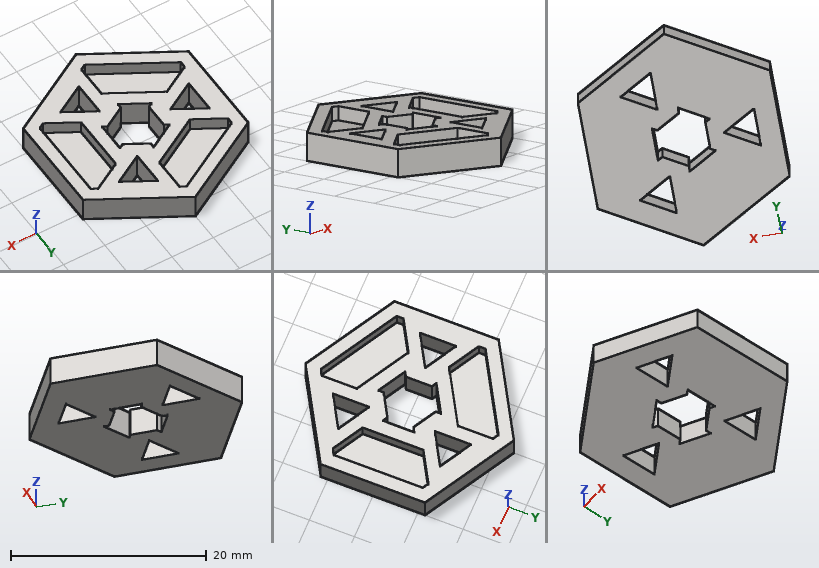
import cadquery as cq
import math

corner_diameter = 23.1
thickness = 3.0
rim_width = 1.48
pocket_depth = thickness / 2
pocket_inner_distance = 4.53
pocket_side_offset = 0.65
bore_apothem = 2.5
bore_step_apothem = 3.0
triangle_side = 4.0
triangle_distance = 6.5

COS30 = math.cos(math.radians(30))
TAN30 = math.tan(math.radians(30))
SECTOR_ANGLES = (0, 120, 240)

body_apothem = corner_diameter / 2 * COS30
pocket_outer_distance = body_apothem - rim_width


def hexagon(apothem, height):
    """Hexagonal prism with two corners on the Y axis."""
    prism = cq.Workplane("XY").polygon(6, 2 * apothem / COS30).extrude(height)
    return prism.rotate((0, 0, 0), (0, 0, 1), 30)


def around(solid):
    """Three copies of a solid, equally spaced about the Z axis."""
    copies = cq.Workplane("XY")
    for angle in SECTOR_ANGLES:
        copies = copies.add(solid.rotate((0, 0, 0), (0, 0, 1), angle))
    return copies.combine()


def pocket_cutter():
    """Blind pocket between two diagonals, bounded outside by the even rim."""
    side_intercept = pocket_side_offset / COS30
    inner_half = pocket_inner_distance * TAN30 + side_intercept
    rim_intercept = pocket_outer_distance / COS30
    shoulder_x = (rim_intercept - side_intercept) / (2 * TAN30)
    shoulder_half = shoulder_x * TAN30 + side_intercept
    rim_corner_half = rim_intercept - pocket_outer_distance * TAN30
    upper_half = [
        (pocket_inner_distance, inner_half),
        (shoulder_x, shoulder_half),
        (pocket_outer_distance, rim_corner_half),
    ]
    lower_half = [(x, -y) for x, y in reversed(upper_half)]
    floor = cq.Workplane("XY", origin=(0, 0, thickness - pocket_depth))
    return floor.polyline(upper_half + lower_half).close().extrude(pocket_depth)


def bore_step_cutter():
    """Sector that moves one bore face outward, with radial end walls."""
    half_width = bore_step_apothem * TAN30
    outline = [(0, 0), (bore_step_apothem, -half_width), (bore_step_apothem, half_width)]
    return cq.Workplane("XY").polyline(outline).close().extrude(thickness)


def triangle_cutter():
    """Through triangle with one corner pointing at the part centre."""
    circumradius = triangle_side / (2 * COS30)
    triangle = cq.Workplane("XY").polygon(3, 2 * circumradius).extrude(thickness)
    return triangle.translate((-triangle_distance, 0, 0))


result = hexagon(body_apothem, thickness)
result = result.cut(hexagon(bore_apothem, thickness))
result = result.cut(around(bore_step_cutter()))
result = result.cut(around(triangle_cutter()))
result = result.cut(around(pocket_cutter()))